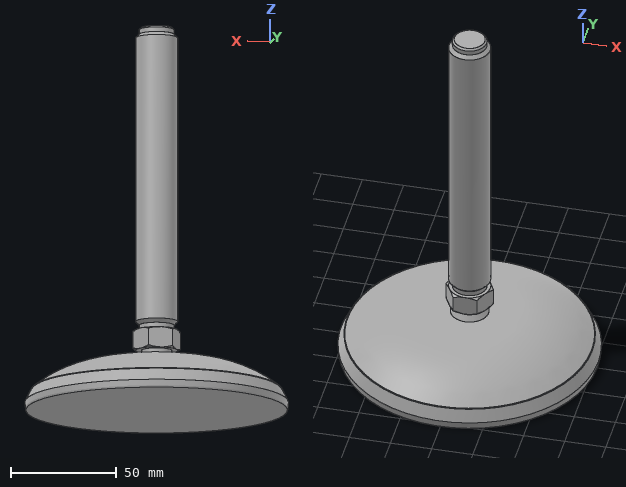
import cadquery as cq
import math

rim_diameter = 125.0
rim_widest_height = 3.7
rim_lower_diameter = 124.4
rim_lower_height = 0.7
rim_bottom_diameter = 123.8
rim_top_diameter = 119.0
rim_height = 9.5
dome_diameter = 118.3
dome_edge_height = 10.0
dome_flat_diameter = 40.0
foot_height = 23.5

neck_diameter = 14.3
flare_diameter = 18.4
flare_height = 2.8

hex_across_flats = 20.0
hex_bottom = 28.7
hex_top = 38.4
hex_face_diameter = 20.0
hex_chamfer_angle = 30.0

total_height = 183.7
spindle_diameter = 20.0
tip_diameter = 16.5
tip_end_diameter = 14.7
top_tip_length = 3.1
bottom_tip_length = 2.4
spindle_chamfer = (spindle_diameter - tip_diameter) / 2
tip_chamfer = (tip_diameter - tip_end_diameter) / 2


def make_foot():
    """Revolve the rim and the dome; the dome arc runs level into the flat top."""
    flat_radius = dome_flat_diameter / 2
    arc_width = dome_diameter / 2 - flat_radius
    arc_drop = foot_height - dome_edge_height
    arc_radius = (arc_width**2 + arc_drop**2) / (2 * arc_drop)
    half_angle = math.asin(arc_width / arc_radius) / 2
    arc_middle = (
        flat_radius + arc_radius * math.sin(half_angle),
        foot_height - arc_radius * (1 - math.cos(half_angle)),
    )
    return (
        cq.Workplane("XZ")
        .lineTo(rim_bottom_diameter / 2, 0)
        .lineTo(rim_lower_diameter / 2, rim_lower_height)
        .lineTo(rim_diameter / 2, rim_widest_height)
        .lineTo(rim_top_diameter / 2, rim_height)
        .lineTo(dome_diameter / 2, rim_height)
        .lineTo(dome_diameter / 2, dome_edge_height)
        .threePointArc(arc_middle, (flat_radius, foot_height))
        .lineTo(0, foot_height)
        .close()
        .revolve()
    )


def make_neck():
    """Revolve the neck, flared where it meets the dome."""
    return (
        cq.Workplane("XZ", origin=(0, 0, foot_height))
        .lineTo(flare_diameter / 2, 0)
        .lineTo(neck_diameter / 2, flare_height)
        .lineTo(neck_diameter / 2, hex_bottom - foot_height)
        .lineTo(0, hex_bottom - foot_height)
        .close()
        .revolve()
    )


def make_hexagon():
    """Hexagonal prism with its corners turned off by a cone at both ends."""
    across_corners = hex_across_flats / math.cos(math.pi / 6)
    corner_overhang = (across_corners - hex_face_diameter) / 2
    chamfer_height = corner_overhang * math.tan(math.radians(hex_chamfer_angle))
    height = hex_top - hex_bottom
    prism = cq.Workplane("XY", origin=(0, 0, hex_bottom)).polygon(6, across_corners).extrude(height)
    turned_blank = (
        cq.Workplane("XY", origin=(0, 0, hex_bottom))
        .circle(across_corners / 2)
        .extrude(height)
        .faces("<Z or >Z")
        .chamfer(chamfer_height, corner_overhang)
    )
    return prism.intersect(turned_blank)


def make_spindle():
    """Revolve the spindle, with a plain tip on the hexagon and a chamfered tip on top."""
    body_bottom = hex_top + bottom_tip_length + spindle_chamfer
    body_top = total_height - top_tip_length - spindle_chamfer
    return (
        cq.Workplane("XZ")
        .moveTo(0, hex_top)
        .lineTo(tip_diameter / 2, hex_top)
        .lineTo(tip_diameter / 2, hex_top + bottom_tip_length)
        .lineTo(spindle_diameter / 2, body_bottom)
        .lineTo(spindle_diameter / 2, body_top)
        .lineTo(tip_diameter / 2, total_height - top_tip_length)
        .lineTo(tip_diameter / 2, total_height - tip_chamfer)
        .lineTo(tip_end_diameter / 2, total_height)
        .lineTo(0, total_height)
        .close()
        .revolve()
    )


result = make_foot().union(make_neck()).union(make_hexagon()).union(make_spindle())